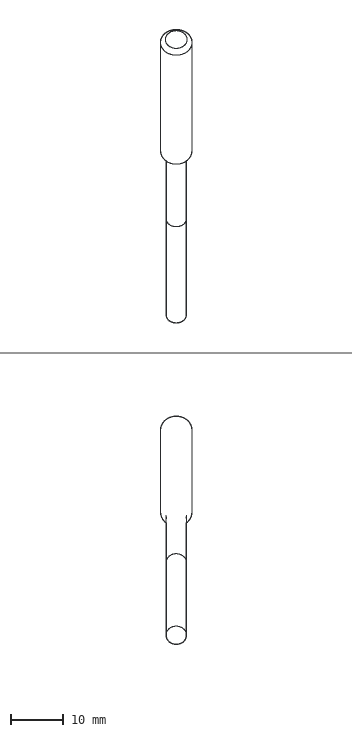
import cadquery as cq
import math

total_length = 90.0
shank_diameter = 6.0
drill_diameter = 3.9
shank_length = 36.0
cutting_length = 31.95
point_angle = 140.0
end_chamfer_height = 0.9
end_face_diameter = 4.1
shoulder_height = 1.5

shank_radius = shank_diameter / 2
drill_radius = drill_diameter / 2
end_face_radius = end_face_diameter / 2
point_height = drill_radius / math.tan(math.radians(point_angle / 2))
shank_bottom = total_length - shank_length
neck_top = shank_bottom - shoulder_height
shoulder_mid_radius = (shank_radius + drill_radius) / 2
shoulder_mid_height = (shank_bottom + neck_top) / 2


def revolve_outline(outline):
    """Turn an open outline, closed along the Z axis, into a solid of revolution."""
    return outline.close().revolve(360, (0, 0), (0, 1))


def make_cutting_section():
    """Straight drill section with a conical point."""
    outline = (
        cq.Workplane("XZ")
        .moveTo(0, 0)
        .lineTo(drill_radius, point_height)
        .lineTo(drill_radius, cutting_length)
        .lineTo(0, cutting_length)
    )
    return revolve_outline(outline)


def make_holder():
    """Neck, S-shaped shoulder and shank with a chamfered end."""
    outline = (
        cq.Workplane("XZ")
        .moveTo(0, cutting_length)
        .lineTo(drill_radius, cutting_length)
        .lineTo(drill_radius, neck_top)
        .tangentArcPoint((shoulder_mid_radius, shoulder_mid_height), relative=False)
        .tangentArcPoint((shank_radius, shank_bottom), relative=False)
        .lineTo(shank_radius, total_length - end_chamfer_height)
        .lineTo(end_face_radius, total_length)
        .lineTo(0, total_length)
    )
    return revolve_outline(outline)


cutting_section = make_cutting_section()
holder = make_holder()

result = cq.Compound.makeCompound([cutting_section.val(), holder.val()])